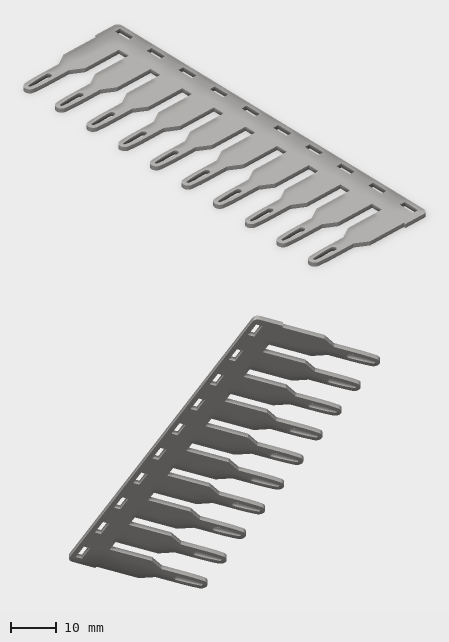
import cadquery as cq

LENGTH = 98.9
DEPTH = 31.8
THICKNESS = 1.1

STRIP_DEPTH = 6.8
CORNER_RADIUS = 1.3
BACK_Y = DEPTH / 2
TIP_Y = -DEPTH / 2
ROOT_Y = BACK_Y - STRIP_DEPTH

PRONG_COUNT = 10
PITCH = 10.1
BLADE_WIDTH = 7.0
BLADE_LENGTH = 10.2
SHOULDER_LENGTH = 3.2
NECK_WIDTH = 3.3
NECK_LENGTH = 6.1
TIP_WIDTH = 2.9
BLADE_END_Y = ROOT_Y - BLADE_LENGTH
NECK_START_Y = BLADE_END_Y - SHOULDER_LENGTH
TAPER_START_Y = NECK_START_Y - NECK_LENGTH
TIP_ARC_Y = TIP_Y + TIP_WIDTH / 2

EYE_WIDTH = 1.4
EYE_END_WIDTH = 0.7
EYE_LENGTH = 6.7
EYE_STRAIGHT_LENGTH = 0.5
EYE_TIP_WALL = 1.1
EYE_BOTTOM_Y = TIP_Y + EYE_TIP_WALL
EYE_TOP_Y = EYE_BOTTOM_Y + EYE_LENGTH

WINDOW_LENGTH = 4.3
WINDOW_WIDTH = 1.5
WINDOW_BACK_WALL = 1.2
WINDOW_Y = BACK_Y - WINDOW_BACK_WALL - WINDOW_WIDTH / 2

prong_centres = [(i - (PRONG_COUNT - 1) / 2) * PITCH for i in range(PRONG_COUNT)]


def make_strip():
    """Back strip with its two rear corners rounded."""
    strip = cq.Workplane("XY").box(LENGTH, STRIP_DEPTH, THICKNESS)
    strip = strip.edges("|Z and >Y").fillet(CORNER_RADIUS)
    return strip.translate((0, BACK_Y - STRIP_DEPTH / 2, THICKNESS / 2))


def make_prong():
    """Wide blade, sloped shoulders, straight neck and gently curved, round tip."""
    blade_start_y = ROOT_Y + STRIP_DEPTH / 2
    left_half = (
        cq.Workplane("XY")
        .moveTo(0, blade_start_y)
        .lineTo(-BLADE_WIDTH / 2, blade_start_y)
        .lineTo(-BLADE_WIDTH / 2, BLADE_END_Y)
        .lineTo(-NECK_WIDTH / 2, NECK_START_Y)
        .lineTo(-NECK_WIDTH / 2, TAPER_START_Y)
        .tangentArcPoint((-TIP_WIDTH / 2, TIP_ARC_Y), relative=False)
        .radiusArc((0, TIP_Y), -TIP_WIDTH / 2)
    )
    return left_half.mirrorY().extrude(THICKNESS)


def make_eye():
    """Cutter for the eye: wide and round at the top, curving in to a narrow round end."""
    wide_y = EYE_TOP_Y - EYE_WIDTH / 2
    narrow_y = EYE_BOTTOM_Y + EYE_END_WIDTH / 2
    left_half = (
        cq.Workplane("XY")
        .moveTo(0, EYE_TOP_Y)
        .radiusArc((-EYE_WIDTH / 2, wide_y), -EYE_WIDTH / 2)
        .lineTo(-EYE_WIDTH / 2, wide_y - EYE_STRAIGHT_LENGTH)
        .tangentArcPoint((-EYE_END_WIDTH / 2, narrow_y), relative=False)
        .radiusArc((0, EYE_BOTTOM_Y), -EYE_END_WIDTH / 2)
    )
    return left_half.mirrorY().extrude(THICKNESS)


def make_window():
    """Cutter for one rectangular window in the back strip."""
    return (
        cq.Workplane("XY")
        .center(0, WINDOW_Y)
        .rect(WINDOW_LENGTH, WINDOW_WIDTH)
        .extrude(THICKNESS)
    )


prong = make_prong().cut(make_eye())
window = make_window()

result = make_strip()
for centre_x in prong_centres:
    result = result.union(prong.translate((centre_x, 0, 0)))
    result = result.cut(window.translate((centre_x, 0, 0)))